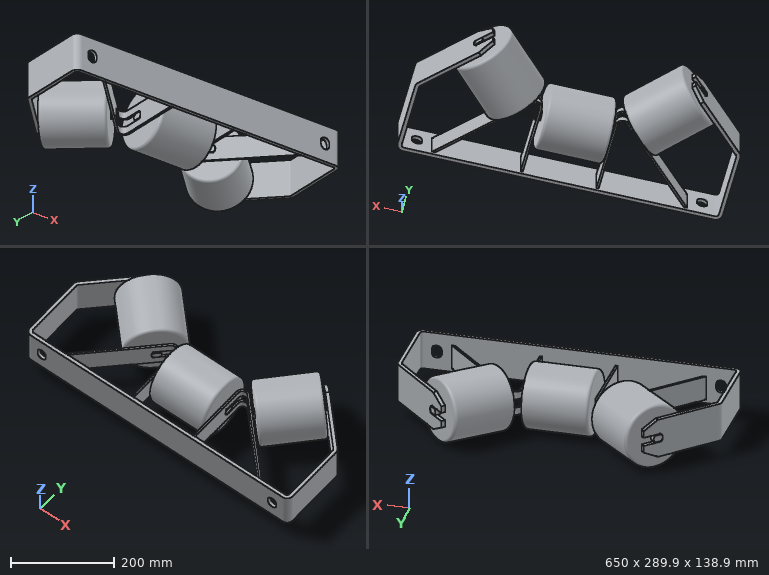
import cadquery as cq
import math


DIAGONAL = math.sqrt(0.5)
HALF_BEND = math.tan(math.radians(22.5))

band_length = 650.0
band_height = 80.0
band_thickness = 8.5
band_bend_radius = 14.0
arm_corner_y = 154.0
arm_tip_y = 276.0
tip_chamfer_length = 31.0
tip_chamfer_height = 17.0

mount_slot_width = 20.0
mount_slot_height = 26.0
mount_slot_from_end = 40.0

bracket_thickness = 4.5
bracket_height = 50.0
bracket_z = -7.0
bracket_bend_radius = 14.0
bracket_inner_x = 73.5
bracket_top_y = 169.5

roller_diameter = 132.5
roller_length = 135.0
roller_fillet = 6.5
middle_roller_y = 125.5
side_roller_x = 169.5
side_roller_y = 198.0
side_roller_tilt = 2.8

shaft_diameter = 20.0
shaft_flat_height = 13.5
side_shoulder = 2.0
side_shaft_length = 160.0
slot_height = 17.5
slot_end_radius = 10.5
slot_reach = 52.0

half_length = band_length / 2
bracket_outer_x = bracket_inner_x + bracket_thickness
bracket_bend_y = bracket_top_y - bracket_bend_radius
bracket_apex_y = bracket_bend_y + bracket_bend_radius / HALF_BEND
arm_rise = arm_tip_y - arm_corner_y
side_offset = (side_roller_x + side_roller_y) * DIAGONAL
arm_distance = (half_length + arm_corner_y) * DIAGONAL - side_offset
leg_distance = side_offset - (bracket_inner_x + bracket_apex_y) * DIAGONAL


def side_plane(distance, z):
    """Plane square to the left roller's line in plan, the given distance outward from its centre.

    Local X runs along the arm toward its open end.
    """
    step = distance * DIAGONAL
    origin = (-side_roller_x - step, side_roller_y + step, z)
    return cq.Plane(origin=origin, xDir=(1, 1, 0), normal=(-1, 1, 0))


def middle_plane(x):
    """Plane square to the middle roller's axis at the given X, with local X toward +Y."""
    return cq.Plane(origin=(x, middle_roller_y, bracket_z), xDir=(0, 1, 0), normal=(1, 0, 0))


def shaft_slot(plane, depth):
    """Slot cutter around a shaft centred on the plane, open toward local +X."""
    half = slot_height / 2
    arc_start = -math.sqrt(slot_end_radius**2 - half**2)
    return (
        cq.Workplane(plane)
        .moveTo(slot_reach, half)
        .lineTo(arc_start, half)
        .threePointArc((-slot_end_radius, 0), (arc_start, -half))
        .lineTo(slot_reach, -half)
        .close()
        .extrude(depth, both=True)
    )


def left_arm_tip_wedge(sign):
    """Wedge that chamfers the top (+1) or bottom (-1) corner of the left arm's tip."""
    tip_x = arm_rise - half_length
    tip = (tip_x + side_roller_x + arm_tip_y - side_roller_y) * DIAGONAL
    edge = sign * band_height / 2
    corners = [
        (tip, edge),
        (tip - tip_chamfer_length, edge),
        (tip, edge - sign * tip_chamfer_height),
    ]
    plane = side_plane(arm_distance, 0)
    return cq.Workplane(plane).polyline(corners).close().extrude(2 * band_thickness, both=True)


def left_band():
    """Left half of the band: base, upright wall and 45 degree arm."""
    wall_x = -half_length
    tip_x = wall_x + arm_rise
    tip_step = band_thickness * DIAGONAL
    inner_corner_y = arm_corner_y - band_thickness * HALF_BEND
    outer_corners = [(wall_x, 0), (wall_x, arm_corner_y)]
    inner_corners = [
        (wall_x + band_thickness, inner_corner_y),
        (wall_x + band_thickness, band_thickness),
    ]
    tip = [(tip_x, arm_tip_y), (tip_x + tip_step, arm_tip_y - tip_step)]
    band = (
        cq.Workplane("XY")
        .polyline([(0, 0), *outer_corners, *tip, *inner_corners, (0, band_thickness)])
        .close()
        .extrude(band_height / 2, both=True)
    )
    for corners, radius in (
        (outer_corners, band_bend_radius),
        (inner_corners, band_bend_radius - band_thickness),
    ):
        for corner in corners:
            band = band.edges(cq.NearestToPointSelector((*corner, 0))).fillet(radius)

    mount_slot = (
        cq.Workplane("XZ")
        .center(mount_slot_from_end - half_length, 0)
        .slot2D(mount_slot_height, mount_slot_width, 90)
        .extrude(2 * band_thickness, both=True)
    )
    slot = shaft_slot(side_plane(arm_distance, 0), 2 * band_thickness)
    band = band.cut(mount_slot).cut(slot)
    for sign in (1, -1):
        band = band.cut(left_arm_tip_wedge(sign))
    return band


def left_bracket():
    """Left bracket: upright leg, round bend and 45 degree leg, with one slot over the bend."""
    foot_y = band_thickness / 2
    outer_apex = (-bracket_inner_x, bracket_apex_y)
    inner_apex = (-bracket_outer_x, bracket_apex_y - bracket_thickness / HALF_BEND)
    outer_drop = outer_apex[1] - foot_y
    inner_drop = inner_apex[1] - foot_y
    bracket = (
        cq.Workplane("XY", origin=(0, 0, bracket_z))
        .polyline([
            (-bracket_inner_x, foot_y),
            outer_apex,
            (outer_apex[0] - outer_drop, foot_y),
            (inner_apex[0] - inner_drop, foot_y),
            inner_apex,
            (-bracket_outer_x, foot_y),
        ])
        .close()
        .extrude(bracket_height / 2, both=True)
    )
    for apex, radius in (
        (outer_apex, bracket_bend_radius),
        (inner_apex, bracket_bend_radius - bracket_thickness),
    ):
        bracket = bracket.edges(cq.NearestToPointSelector((*apex, bracket_z))).fillet(radius)

    middle_slot = shaft_slot(middle_plane(-bracket_inner_x), 2 * bracket_bend_radius)
    side_slot = shaft_slot(side_plane(-leg_distance, bracket_z), 2 * bracket_thickness)
    return bracket.cut(middle_slot).cut(side_slot)


def round_bar(plane, diameter, length):
    """Cylinder centred on the plane with its axis along the normal."""
    return cq.Workplane(plane).workplane(offset=-length / 2).circle(diameter / 2).extrude(length)


def roller(plane, shoulder, shaft_length):
    """Roller centred on the plane, its axis along the normal, its shaft flats facing local Y."""
    drum = round_bar(plane, roller_diameter, roller_length).edges("%CIRCLE").fillet(roller_fillet)
    shaft = round_bar(plane, shaft_diameter, roller_length + 2 * shoulder)
    flats = cq.Workplane(plane).box(shaft_diameter, shaft_flat_height, shaft_length)
    flat_shaft = round_bar(plane, shaft_diameter, shaft_length).intersect(flats)
    return drum.union(shaft).union(flat_shaft)


def left_roller():
    """Side roller at 45 degrees in plan, with its outer end tilted up."""
    tilt = math.radians(side_roller_tilt)
    level = math.cos(tilt) * DIAGONAL
    plane = cq.Plane(
        origin=(-side_roller_x, side_roller_y, bracket_z / 2),
        xDir=(1, 1, 0),
        normal=(-level, level, math.sin(tilt)),
    )
    return roller(plane, side_shoulder, side_shaft_length)


def frame():
    """Band, both brackets and the middle roller between them."""
    left_half = left_band().union(left_bracket())
    shoulder = bracket_inner_x - roller_length / 2
    middle_roller = roller(middle_plane(0), shoulder, 2 * bracket_outer_x)
    return left_half.union(left_half.mirror("YZ")).union(middle_roller)


frame_body = frame()
side_rollers = [left_roller(), left_roller().mirror("YZ")]

result = cq.Compound.makeCompound([frame_body.val(), *(side.val() for side in side_rollers)])